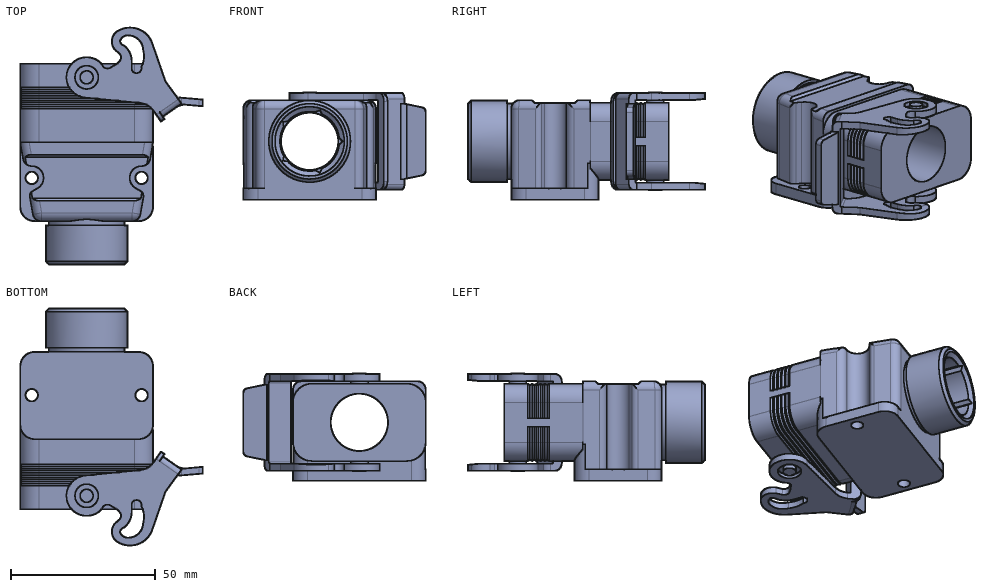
import cadquery as cq
import math

axis_z = 20.25

width = 46.0
flange_length = 30.2
flange_height = 4.0
flange_corner = 5.0
mount_x = 19.0
mount_y = 15.0
mount_dia = 4.2

body_top = 34.55
body_back = 27.3
body_side_angle = 10.0
body_round = 3.0
saddle_depth = 0.95
saddle_front = 8.0
saddle_back = 22.1
notch_radius = 4.1
notch_reach = 10.0
notch_front_angle = 30.0
notch_back_round = 3.0
notch_front_round = 2.0
riser_front = 26.4
riser_top = 12.6

hood_height = 26.75
hood_back = 54.55
hood_corner = 6.5
groove_start = 38.95
groove_count = 5
groove_pitch = 1.475
groove_depth = 0.5
groove_gap = 3.0

neck_dia = 26.35
neck_length = 1.4
socket_dia = 28.3
socket_length = 15.0
socket_chamfer = 1.1
bore_dia = 20.6
bore_mouth_dia = 24.0
bore_mouth_depth = 1.2
inner_bore_dia = 19.75
key_radius = 11.4
key_depth = 2.0
key_count = 5

pivot_y = 49.8
pin_dia = 4.5
boss_dia = 6.0

lever_height = 33.6
plate_thickness = 2.55
pin_projection = 0.2
eye_radius = 7.0
eye_start_angle = 41.0
eye_end_angle = -96.0
arm_bend_start = (18.5, 40.95)
arm_straight = 2.0
back_corner = (27.3, 48.4)
eye_recess_dia = 8.1
eye_recess_depth = 1.5
tip_y = 67.05
hook_x = 15.0
hook_radius = 8.2
hook_back_angle = 19.4
nose_radius = 4.3
nose_angle = 121.0
nose_end_angle = 218.0
tip_bevel_length = 4.0
tip_bevel_depth = 0.4
fold_start = (24.0, 36.95)
fold_angle = 35.0
fold_length = 9.4
bridge_thickness = 2.7
bridge_round = 2.0
bridge_inner_round = 0.6
lip_width = 1.5
lip_rise = 1.0
tab_end = 40.2
tab_root_x = 32.8
tab_root_height = 26.1
tab_edge_angle = 11.5
tab_corner = 1.8

hood_top = axis_z + hood_height / 2
lever_top = axis_z + lever_height / 2
lever_inner_height = lever_height - 2 * plate_thickness
overlap = 1.0
big = 100.0


def mirrored_in_x(shape):
    return shape.mirror("YZ")


def y_cylinder(diameter, y_start, y_end):
    """Cylinder on the cable axis between two Y positions."""
    return (
        cq.Workplane("XZ", origin=(0, y_start, axis_z))
        .circle(diameter / 2)
        .extrude(y_start - y_end)
    )


def flange_prism(height):
    return (
        cq.Workplane("XY")
        .rect(width, flange_length)
        .extrude(height)
        .edges("|Z")
        .fillet(flange_corner)
        .translate((0, flange_length / 2, 0))
    )


def body_half_width(y):
    return width / 2 - (body_back - y) * math.tan(math.radians(body_side_angle))


def notch():
    """Clearance around the right mounting hole, open towards the side."""
    a = math.radians(notch_front_angle)
    tangent_x = mount_x - notch_radius * math.sin(a)
    tangent_y = mount_y - notch_radius * math.cos(a)
    return (
        cq.Workplane("XY", origin=(0, 0, flange_height))
        .moveTo(mount_x + notch_reach, mount_y + notch_radius)
        .lineTo(mount_x, mount_y + notch_radius)
        .threePointArc((mount_x - notch_radius, mount_y), (tangent_x, tangent_y))
        .lineTo(tangent_x + notch_reach * math.cos(a), tangent_y - notch_reach * math.sin(a))
        .lineTo(mount_x + notch_reach, tangent_y - notch_reach * math.sin(a))
        .close()
        .extrude(big)
    )


def notch_back_corner():
    """Point where the rear wall of the notch meets the body side."""
    y = mount_y + notch_radius
    return (body_half_width(y), y)


def notch_front_corner():
    """Point where the sloping front wall of the notch meets the body side."""
    a = math.radians(notch_front_angle)
    side_slope = math.tan(math.radians(body_side_angle))
    wall_slope = -math.tan(a)
    wall_y = mount_y - notch_radius / math.cos(a) - wall_slope * mount_x
    x = (body_half_width(0) + side_slope * wall_y) / (1 - side_slope * wall_slope)
    return (x, wall_y + wall_slope * x)


def round_corners(body, corner, radius):
    """Round the upright edge at a corner and its mirror image."""
    x, y = corner
    middle = (flange_height + body_top) / 2
    for side in (-x, x):
        body = body.edges(cq.selectors.NearestToPointSelector((side, y, middle))).fillet(radius)
    return body


def saddle():
    """Shallow recess with 45 degree ramps across the top of the body."""
    return (
        cq.Workplane("YZ", origin=(-big / 2, 0, 0))
        .moveTo(saddle_front, body_top - saddle_depth)
        .lineTo(saddle_back, body_top - saddle_depth)
        .lineTo(saddle_back + saddle_depth, body_top)
        .lineTo(saddle_front - saddle_depth, body_top)
        .close()
        .extrude(big)
    )


def body_prism():
    """Tapered plan shape of the body, straight up from the flange."""
    front = body_half_width(0)
    back = body_half_width(body_back)
    return (
        cq.Workplane("XY", origin=(0, 0, flange_height))
        .polyline([(-front, 0), (front, 0), (back, body_back), (-back, body_back)])
        .close()
        .extrude(body_top - flange_height)
    )


def cable_body():
    cutter = notch()
    notched = body_prism().cut(cutter).cut(mirrored_in_x(cutter))
    notched = round_corners(notched, notch_back_corner(), notch_back_round)
    notched = round_corners(notched, notch_front_corner(), notch_front_round)
    rounded = (
        body_prism()
        .edges("|Z and <Y")
        .fillet(body_round)
        .edges(">Z")
        .edges("not >Y")
        .fillet(body_round)
    )
    return rounded.intersect(notched).cut(saddle()).cut(riser_zone())


def hood_section(y):
    return (
        cq.Workplane("XZ", origin=(0, y, axis_z))
        .sketch()
        .rect(width, hood_height)
        .vertices()
        .fillet(hood_corner)
        .finalize()
    )


def grip_groove(y_start):
    """V groove around the hood, interrupted at mid height on both sides."""
    half_pitch = groove_pitch / 2
    flank = math.degrees(math.atan2(groove_depth, half_pitch))
    ring = (
        cq.Workplane("XZ", origin=(0, y_start, axis_z))
        .rect(width + overlap, hood_height + overlap)
        .extrude(-groove_pitch)
    )
    ring = ring.cut(hood_section(y_start).extrude(-half_pitch, taper=flank))
    ring = ring.cut(hood_section(y_start + groove_pitch).extrude(half_pitch, taper=flank))
    gap = cq.Workplane("XY").box(big, big, groove_gap).translate((0, y_start, axis_z))
    return ring.cut(gap)


def hood():
    body = hood_section(hood_back).extrude(hood_back - body_back)
    for i in range(groove_count):
        body = body.cut(grip_groove(groove_start + i * groove_pitch))
    return body


def riser_zone():
    """Everything behind the riser front, up to the riser top."""
    block = cq.Workplane("XY").box(big, big, riser_top, centered=(True, False, False))
    return block.translate((0, riser_front, 0))


def riser():
    """Rear strip of the flange outline, carried up into the hood."""
    return flange_prism(riser_top).intersect(riser_zone())


def socket():
    neck = y_cylinder(neck_dia, body_round + overlap, -neck_length)
    return neck.union(y_cylinder(socket_dia, -neck_length, -socket_length).faces("<Y").chamfer(socket_chamfer))


def bore():
    """Through bore with a conical mouth and key grooves along the socket."""
    cutter = y_cylinder(inner_bore_dia, hood_back, -socket_length)
    cutter = cutter.union(y_cylinder(bore_dia, 0, -socket_length))
    mouth = (
        cq.Workplane("XZ", origin=(0, -socket_length, axis_z))
        .circle(bore_mouth_dia / 2)
        .workplane(offset=-bore_mouth_depth)
        .circle(bore_dia / 2)
        .loft()
    )
    cutter = cutter.union(mouth)
    key = (
        cq.Workplane("XZ", origin=(0, 0, axis_z))
        .polyline([(key_radius, 0), (key_radius - key_depth, key_depth), (key_radius - key_depth, -key_depth)])
        .close()
        .extrude(socket_length)
    )
    for i in range(key_count):
        cutter = cutter.union(key.rotate((0, 0, axis_z), (0, 1, axis_z), i * 360 / key_count))
    return cutter


def pivot_pin():
    """Boss and pin standing on the top of the hood."""
    boss = cq.Workplane("XY", origin=(0, pivot_y, hood_top - overlap)).circle(boss_dia / 2)
    boss = boss.extrude(lever_top - plate_thickness - hood_top + overlap)
    pin = cq.Workplane("XY", origin=(0, pivot_y, hood_top - overlap)).circle(pin_dia / 2)
    return boss.union(pin.extrude(lever_top + pin_projection - hood_top + overlap))


def mirrored_in_z(shape):
    return shape.mirror("XY", (0, 0, axis_z))


def make_housing():
    pin = pivot_pin()
    body = flange_prism(flange_height)
    for piece in (cable_body(), hood(), riser(), socket(), pin, mirrored_in_z(pin)):
        body = body.union(piece)
    holes = cq.Workplane("XY").pushPoints([(-mount_x, mount_y), (mount_x, mount_y)])
    return body.cut(bore()).cut(holes.circle(mount_dia / 2).extrude(flange_height))


def polar(centre, radius, angle):
    """Point on a circle at an angle in degrees."""
    a = math.radians(angle)
    return (centre[0] + radius * math.cos(a), centre[1] + radius * math.sin(a))


def along_fold(u, v):
    """Point u outwards from the fold line and v along it."""
    a = math.radians(fold_angle)
    x = fold_start[0] + u * math.sin(a) + v * math.cos(a)
    y = fold_start[1] - u * math.cos(a) + v * math.sin(a)
    return (x, y)


def plate_outline():
    """Eye, arm to the fold, hook nose and the throat between hook and eye."""
    eye_start = polar((0, pivot_y), eye_radius, eye_start_angle)
    eye_end = polar((0, pivot_y), eye_radius, eye_end_angle)
    hook_centre = (hook_x, tip_y - hook_radius)
    nose_centre = polar(hook_centre, hook_radius - nose_radius, nose_angle)
    return (
        cq.Workplane("XY", origin=(0, 0, lever_top - plate_thickness))
        .moveTo(*eye_start)
        .threePointArc((-eye_radius, pivot_y), eye_end)
        .lineTo(*arm_bend_start)
        .tangentArcPoint(along_fold(-arm_straight, 0), relative=False)
        .lineTo(*along_fold(0, 0))
        .lineTo(*along_fold(0, fold_length))
        .lineTo(*back_corner)
        .lineTo(*polar(hook_centre, hook_radius, hook_back_angle))
        .threePointArc(polar(hook_centre, hook_radius, 90), polar(hook_centre, hook_radius, nose_angle))
        .threePointArc(polar(nose_centre, nose_radius, 180), polar(nose_centre, nose_radius, nose_end_angle))
        .lineTo(11.4, 57.9)
        .threePointArc((11.85, 56.6), (11.4, 55.45))
        .threePointArc((10.4, 54.5), (8.6, 53.4))
        .threePointArc((7.2, 52.85), eye_start)
        .close()
    )


def cam_slot():
    """Curved slot that draws the mating locking peg in."""
    return (
        cq.Workplane("XY", origin=(0, 0, lever_top - plate_thickness))
        .moveTo(11.6, 62.4)
        .threePointArc((12.65, 63.8), (14.75, 64.25))
        .threePointArc((17.8, 63.0), (19.5, 59.4))
        .threePointArc((19.8, 56.85), (18.95, 53.4))
        .threePointArc((16.9, 51.3), (15.65, 52.4))
        .lineTo(15.65, 55.5)
        .threePointArc((14.75, 58.75), (13.0, 60.8))
        .threePointArc((11.85, 61.6), (11.6, 62.4))
        .close()
        .extrude(plate_thickness)
    )


def tip_bevel():
    """Wedge taken off the inner face at the hook end."""
    inner = lever_top - plate_thickness
    return (
        cq.Workplane("YZ", origin=(-big / 2, 0, 0))
        .polyline([(tip_y - tip_bevel_length, inner), (tip_y, inner), (tip_y, inner + tip_bevel_depth)])
        .close()
        .extrude(big)
    )


def side_plate():
    recess = cq.Workplane("XY", origin=(0, pivot_y, lever_top)).circle(eye_recess_dia / 2)
    pin_hole = cq.Workplane("XY", origin=(0, pivot_y, lever_top)).circle(pin_dia / 2)
    return (
        plate_outline()
        .extrude(plate_thickness)
        .cut(cam_slot())
        .cut(tip_bevel())
        .cut(recess.extrude(-eye_recess_depth))
        .cut(pin_hole.extrude(-plate_thickness))
    )


def fold_block(u_start, u_end, v_length, height, rounding):
    """Block on the fold line with its two long outer edges rounded, in fold axes."""
    return (
        cq.Workplane("XY")
        .box(u_end - u_start, v_length, height, centered=(False, False, True))
        .edges("|Y and >X")
        .fillet(rounding)
        .translate((u_start, 0, 0))
    )


def bridge():
    """Bar joining the two side plates, with a raised lip along one edge."""
    inner_face = bridge_round - bridge_thickness
    root = inner_face - bridge_inner_round
    bar = fold_block(root, bridge_round, fold_length, lever_height, bridge_round)
    lip_round = bridge_round + lip_rise
    bar = bar.union(fold_block(root, lip_round, lip_width, lever_height, lip_round))
    bar = bar.cut(fold_block(root - overlap, inner_face, fold_length, lever_inner_height, bridge_inner_round))
    bar = bar.rotate((0, 0, 0), (0, 0, 1), fold_angle - 90)
    return bar.translate((*fold_start, axis_z))


def tab():
    """Finger tab leaving the free edge of the bridge, narrowing to its end."""
    profile = (
        cq.Workplane("XY", origin=(0, 0, axis_z - tab_root_height / 2))
        .polyline([
            (31.7, 42.5), (32.1, 42.85), (tab_end, 42.15),
            (tab_end, 39.75), (33.6, 40.35), (31.6, 39.8),
        ])
        .close()
        .extrude(tab_root_height)
    )
    drop = (tab_end - tab_root_x) * math.tan(math.radians(tab_edge_angle))
    half = tab_root_height / 2
    silhouette = (
        cq.Workplane("XZ", origin=(0, big, axis_z))
        .polyline([
            (0, -half), (tab_root_x, -half), (tab_end, drop - half),
            (tab_end, half - drop), (tab_root_x, half), (0, half),
        ])
        .close()
        .extrude(2 * big)
        .edges("|Y and >X")
        .fillet(tab_corner)
    )
    return profile.intersect(silhouette)


def make_lever():
    plate = side_plate()
    return bridge().union(plate).union(mirrored_in_z(plate)).union(tab())


housing = make_housing()
lever = make_lever()

result = cq.Compound.makeCompound([housing.solids().val(), lever.solids().val()])